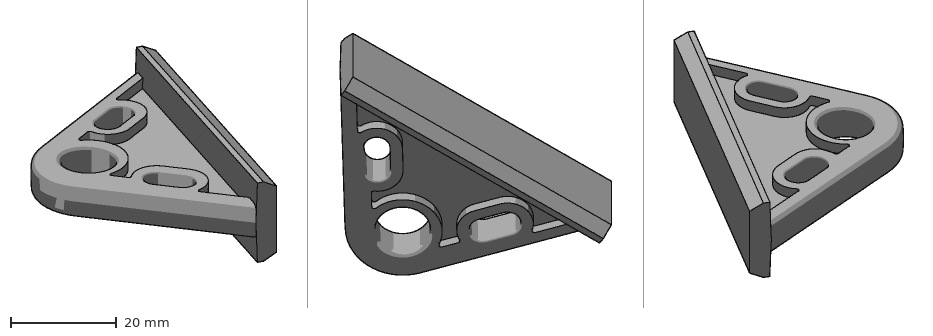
import cadquery as cq
import math

PLATE_LENGTH = 60
PLATE_HEIGHT = 17.0
PLATE_THICKNESS = 4.25
BEVEL_DEPTH = 2.7
BEVEL_HEIGHT = 1.45
DRAFT_ANGLE = 2

OVERALL_DEPTH = 37.15
ARM_THICKNESS = 7.4
NOSE_RADIUS = 11.0
ARM_EDGE_ROUND = 1.5

HOLE_DIAMETER = 10.5
HOLE_EDGE_ROUND = 1.0

SLOT_X = 13.7
SLOT_Y = -15.2
SLOT_WIDTH = 5.0
SLOT_CENTER_DISTANCE = 5.05
SLOT_EDGE_ROUND = 0.5

FLOOR_THICKNESS = 3
OUTER_RIM_WIDTH = 3
INNER_RIM_WIDTH = 5.3
SLOT_WALL_RADIUS = 4.85
HOLE_WALL_RADIUS = 7.5
POCKET_CORNER_RADIUS = 0.5

half_length = PLATE_LENGTH / 2
half_height = PLATE_HEIGHT / 2
half_arm = ARM_THICKNESS / 2
half_floor = FLOOR_THICKNESS / 2
draft_slope = math.tan(math.radians(DRAFT_ANGLE))
nose_y = NOSE_RADIUS - OVERALL_DEPTH

corner_to_nose = math.hypot(half_length, -PLATE_THICKNESS - nose_y)
flank_angle = math.atan2(-PLATE_THICKNESS - nose_y, half_length) + math.asin(NOSE_RADIUS / corner_to_nose)
flank_x = math.cos(flank_angle)
flank_y = math.sin(flank_angle)


def flank_point(y, inset=0):
    """Point at height y on the +X flank line, moved inward by inset."""
    x = half_length + (y + PLATE_THICKNESS) * flank_x / flank_y - inset / flank_y
    return x, y


def mirrored(point):
    return -point[0], point[1]


def both_faces(upper_half):
    return upper_half.union(upper_half.mirror("XY"))


def make_plate():
    edge_thickness = PLATE_THICKNESS - half_height * draft_slope
    upper_profile = [
        (0, 0),
        (0, half_height - BEVEL_HEIGHT),
        (-BEVEL_DEPTH, half_height),
        (-edge_thickness, half_height),
        (-PLATE_THICKNESS, 0),
    ]
    upper_half = cq.Workplane("YZ").polyline(upper_profile).close().extrude(half_length, both=True)
    return both_faces(upper_half)


def make_arm():
    root = flank_point(-PLATE_THICKNESS / 2)
    tangent = (NOSE_RADIUS * flank_y, nose_y - NOSE_RADIUS * flank_x)
    upper_half = (
        cq.Workplane("XY")
        .moveTo(*mirrored(root))
        .lineTo(*mirrored(tangent))
        .threePointArc((0, -OVERALL_DEPTH), tangent)
        .lineTo(*root)
        .close()
        .extrude(half_arm, taper=DRAFT_ANGLE)
        .faces(">Z")
        .edges("not >Y")
        .fillet(ARM_EDGE_ROUND)
    )
    trim = cq.Workplane("XY").box(PLATE_LENGTH, 2 * OVERALL_DEPTH, ARM_THICKNESS)
    return both_faces(upper_half).intersect(trim)


def slot_prism(side, radius, bottom, height):
    """Slot-shaped prism on the side +1 or -1, parallel to that flank."""
    return (
        cq.Workplane("XY", origin=(side * SLOT_X, SLOT_Y, bottom))
        .slot2D(SLOT_CENTER_DISTANCE + 2 * radius, 2 * radius, side * math.degrees(flank_angle))
        .extrude(height)
    )


def make_pocket():
    """Pocket in the upper face; the plate closes its back."""
    depth = half_arm - half_floor
    right_side = [
        flank_point(-PLATE_THICKNESS / 2, OUTER_RIM_WIDTH),
        flank_point(SLOT_Y, OUTER_RIM_WIDTH),
        flank_point(SLOT_Y, INNER_RIM_WIDTH),
        flank_point(nose_y, INNER_RIM_WIDTH),
    ]
    left_side = [mirrored(point) for point in reversed(right_side)]
    pocket = (
        cq.Workplane("XY", origin=(0, 0, half_floor))
        .polyline(right_side + left_side)
        .close()
        .extrude(depth)
    )
    hole_wall = cq.Workplane("XY", origin=(0, nose_y, half_floor)).circle(HOLE_WALL_RADIUS).extrude(depth)
    pocket = pocket.cut(hole_wall)
    for side in (-1, 1):
        pocket = pocket.cut(slot_prism(side, SLOT_WALL_RADIUS, half_floor, depth))
    pocket = pocket.solids(">Y")
    walls = cq.selectors.ParallelDirSelector(cq.Vector(0, 0, 1))
    at_plate = cq.selectors.BoxSelector(
        (-half_length, -PLATE_THICKNESS, -half_height),
        (half_length, 0, half_height),
    )
    return pocket.edges(walls - at_plate).fillet(POCKET_CORNER_RADIUS)


def cut_opening(body, opening, edge_round):
    """Cut a through opening and round its rim on both arm faces."""
    bounds = opening.val().BoundingBox()
    around_opening = cq.selectors.BoxSelector(
        (bounds.xmin - edge_round, bounds.ymin - edge_round, bounds.zmin - edge_round),
        (bounds.xmax + edge_round, bounds.ymax + edge_round, bounds.zmax + edge_round),
        boundingbox=True,
    )
    rims = around_opening - cq.selectors.ParallelDirSelector(cq.Vector(0, 0, 1))
    return body.cut(opening).edges(rims).fillet(edge_round)


hole = cq.Workplane("XY", origin=(0, nose_y, -half_arm)).circle(HOLE_DIAMETER / 2).extrude(ARM_THICKNESS)
pocket = make_pocket()

arm = make_arm().cut(pocket).cut(pocket.mirror("XY"))
arm = cut_opening(arm, hole, HOLE_EDGE_ROUND)
for side in (-1, 1):
    slot = slot_prism(side, SLOT_WIDTH / 2, -half_arm, ARM_THICKNESS)
    arm = cut_opening(arm, slot, SLOT_EDGE_ROUND)
result = arm.union(make_plate())